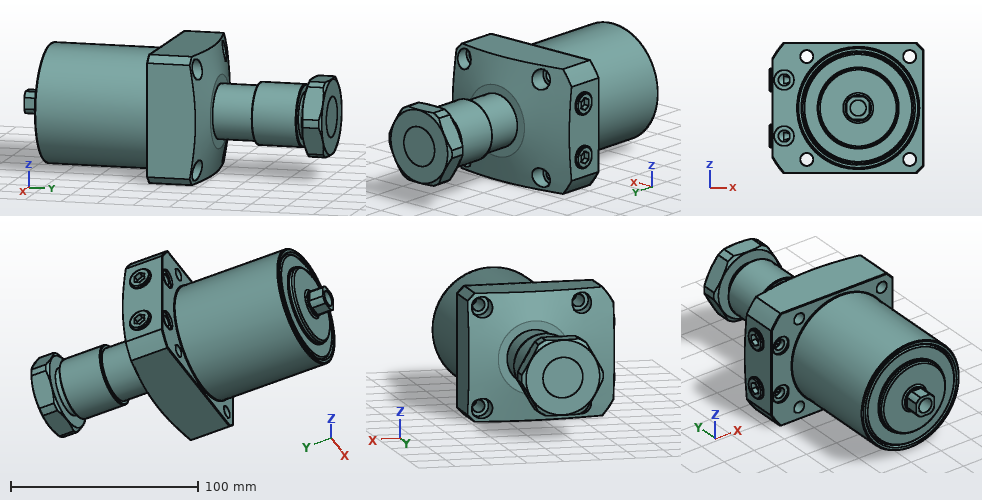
import cadquery as cq
import math


nut_top = 93.0
nut_height = 11.0
nut_bottom = nut_top - nut_height
sleeve_top = 78.0
sleeve_bottom = 53.0
flange_top = 31.0
barrel_end = -63.0
cover_boss_height = 3.2
cover_face = barrel_end - cover_boss_height
tail_end = -76.0

flange_half_height = 35.0
flange_right = 35.0
flange_left = -46.0
flange_corner_chamfer = 4.0
flange_corner_radius = 53.0
flange_edge_chamfer = 0.4
crown_radius = 20.0
crown_angle = 15.0
crown_outer_radius = 60.0
bolt_hole_diameter = 6.8
bolt_hole_offset = 27.5
bolt_head_diameter = 11.0
bolt_seat = 18.0

port_x = -39.6
port_offset = 15.0
port_counterbore_diameter = 10.6
port_counterbore_depth = 1.2
port_drill_diameter = 6.2
port_drill_depth = 4.6
drill_tip_angle = 118.0
passage_diameter = 4.6
passage_start = -39.8
passage_length = 4.5
passage_y = 6.6

plug_y = 13.0
plug_head_diameter = 12.5
plug_head_height = 1.5
plug_head_chamfer = 0.7
plug_shank_diameter = 9.0
plug_shank_length = 5.0
plug_socket_flats = 6.0
plug_socket_depth = 3.2

barrel_radius = 32.5
barrel_edge_chamfer = 0.6
barrel_root_radius = 32.8
barrel_root_height = 0.5
cover_radius = 29.6
cover_thickness = 10.0
cover_edge_chamfer = 0.9
cover_inner_face = barrel_end + cover_thickness
boss_base_radius = 21.8
boss_base_height = 0.8
boss_radius = 21.3
boss_chamfer = 0.9

rod_radius = 15.0
stud_radius = 11.0
tail_radius = 6.75
tail_square_flats = 12.0
tail_square_length = 8.0
tail_bore_diameter = 8.5
tail_bore_depth = 15.0

seal_base_radius = 8.1
seal_lip_radius = 7.0
seal_height = 1.4
seal_taper_height = 0.7

sleeve_radius = 17.0
sleeve_edge_chamfer = 0.5
nut_flats = 41.0
nut_turned_radius = 22.5
nut_chamfer_width = 2.2
nut_chamfer_height = 1.1
neck_radius = 12.9
neck_flare_radius = 13.6
neck_straight_height = 1.0


def turned(profile):
    """Solid of revolution about Y from (radius, y) points."""
    return cq.Workplane("XY").polyline(profile).close().revolve(360, (0, 0, 0), (0, 1, 0))


def cylinder_y(radius, y_from, y_to, x=0, z=0):
    """Cylinder parallel to Y between two heights."""
    disc = cq.Workplane("XZ", origin=(x, y_from, z)).circle(radius)
    return disc.extrude(y_from - y_to)


def cylinder_x(radius, x_from, x_to, y, z):
    """Cylinder parallel to X between two positions."""
    disc = cq.Workplane("YZ", origin=(x_from, y, z)).circle(radius)
    return disc.extrude(x_to - x_from)


def flange_plate():
    """Flange outline: turned left corners, chamfered right corners, conical crown."""
    h = flange_half_height
    arc_top_x = -math.sqrt(flange_corner_radius**2 - h**2)
    arc_side_z = math.sqrt(flange_corner_radius**2 - flange_left**2)
    middle_angle = (math.atan2(h, -arc_top_x) + math.atan2(arc_side_z, -flange_left)) / 2
    arc_middle_x = -flange_corner_radius * math.cos(middle_angle)
    arc_middle_z = flange_corner_radius * math.sin(middle_angle)
    plate = (
        cq.Workplane("XZ")
        .moveTo(arc_top_x, h)
        .lineTo(flange_right - flange_corner_chamfer, h)
        .lineTo(flange_right, h - flange_corner_chamfer)
        .lineTo(flange_right, flange_corner_chamfer - h)
        .lineTo(flange_right - flange_corner_chamfer, -h)
        .lineTo(arc_top_x, -h)
        .threePointArc((arc_middle_x, -arc_middle_z), (flange_left, -arc_side_z))
        .lineTo(flange_left, arc_side_z)
        .threePointArc((arc_middle_x, arc_middle_z), (arc_top_x, h))
        .close()
        .extrude(-flange_top)
    )
    plate = plate.faces("<Y").chamfer(flange_edge_chamfer)
    crown_drop = (crown_outer_radius - crown_radius) * math.tan(math.radians(crown_angle))
    crown = turned([
        (0, 0),
        (crown_outer_radius, 0),
        (crown_outer_radius, flange_top - crown_drop),
        (crown_radius, flange_top),
        (0, flange_top),
    ])
    return plate.intersect(crown)


def port_cutter(z):
    """Counterbored oil port with a drill-point bottom and a short passage toward the barrel."""
    drill_radius = port_drill_diameter / 2
    tip_depth = drill_radius / math.tan(math.radians(drill_tip_angle / 2))
    drill = turned([
        (0, 0),
        (drill_radius, 0),
        (drill_radius, port_drill_depth),
        (0, port_drill_depth + tip_depth),
    ]).translate((port_x, 0, z))
    counterbore = cylinder_y(port_counterbore_diameter / 2, 0, port_counterbore_depth, port_x, z)
    passage_end = passage_start + passage_length
    passage = cylinder_x(passage_diameter / 2, passage_start, passage_end, passage_y, z)
    return drill.union(counterbore).union(passage)


def make_housing():
    """Flange and barrel in one piece, bored for rod, cover, ports, plugs and bolts."""
    barrel = cylinder_y(barrel_radius, barrel_end, 0).faces("<Y").chamfer(barrel_edge_chamfer)
    root_step = cylinder_y(barrel_root_radius, -barrel_root_height, 0)
    body = flange_plate().union(barrel).union(root_step)
    body = body.cut(cylinder_y(rod_radius, cover_inner_face, flange_top))
    body = body.cut(turned([
        (0, barrel_end),
        (cover_radius + cover_edge_chamfer, barrel_end),
        (cover_radius, barrel_end + cover_edge_chamfer),
        (cover_radius, cover_inner_face),
        (0, cover_inner_face),
    ]))
    for z in (-bolt_hole_offset, bolt_hole_offset):
        for x in (-bolt_hole_offset, bolt_hole_offset):
            body = body.cut(cylinder_y(bolt_hole_diameter / 2, 0, flange_top, x, z))
            body = body.cut(cylinder_y(bolt_head_diameter / 2, bolt_seat, flange_top, x, z))
    for z in (-port_offset, port_offset):
        plug_end = flange_left + plug_shank_length
        body = body.cut(port_cutter(z))
        body = body.cut(cylinder_x(plug_shank_diameter / 2, flange_left, plug_end, plug_y, z))
    return body


def make_cover():
    """End cover set into the barrel, with a stepped boss around the tail of the rod."""
    return turned([
        (tail_radius, cover_inner_face),
        (cover_radius, cover_inner_face),
        (cover_radius, barrel_end + cover_edge_chamfer),
        (cover_radius - cover_edge_chamfer, barrel_end),
        (boss_base_radius, barrel_end),
        (boss_base_radius, barrel_end - boss_base_height),
        (boss_radius, barrel_end - boss_base_height),
        (boss_radius, cover_face + boss_chamfer),
        (boss_radius - boss_chamfer, cover_face),
        (tail_radius, cover_face),
    ])


def make_rod():
    """Rod with a stud for sleeve and nut, and a bored tail with a squared end."""
    rod = turned([
        (0, tail_end),
        (tail_radius, tail_end),
        (tail_radius, cover_inner_face),
        (rod_radius, cover_inner_face),
        (rod_radius, sleeve_bottom),
        (stud_radius, sleeve_bottom),
        (stud_radius, nut_top),
        (0, nut_top),
    ])
    stock_width = 2 * tail_radius
    stock = cq.Workplane("XZ", origin=(0, tail_end, 0)).rect(stock_width, stock_width)
    stock = stock.extrude(-tail_square_length)
    square = cq.Workplane("XZ", origin=(0, tail_end, 0)).rect(tail_square_flats, tail_square_flats)
    square = square.extrude(-tail_square_length)
    rod = rod.cut(stock.cut(square))
    return rod.cut(cylinder_y(tail_bore_diameter / 2, tail_end, tail_end + tail_bore_depth))


def make_dust_seal():
    """Tapered seal ring around the tail, resting on the cover boss."""
    return turned([
        (tail_radius, cover_face),
        (seal_base_radius, cover_face),
        (seal_lip_radius, cover_face - seal_taper_height),
        (seal_lip_radius, cover_face - seal_height),
        (tail_radius, cover_face - seal_height),
    ])


def make_sleeve():
    """Plain sleeve on the stud, seated on the rod shoulder."""
    tube = cylinder_y(sleeve_radius, sleeve_bottom, sleeve_top)
    tube = tube.faces("<Y or >Y").chamfer(sleeve_edge_chamfer)
    return tube.cut(cylinder_y(stud_radius, sleeve_bottom, sleeve_top))


def make_nut():
    """Hexagon nut with turned corners and a flared neck pressing on the sleeve."""
    across_corners = nut_flats / math.cos(math.pi / 6)
    hexagon = cq.Workplane("XZ", origin=(0, nut_bottom, 0)).polygon(6, across_corners)
    hexagon = hexagon.extrude(-nut_height)
    face_radius = nut_turned_radius - nut_chamfer_width
    envelope = turned([
        (0, nut_bottom),
        (face_radius, nut_bottom),
        (nut_turned_radius, nut_bottom + nut_chamfer_height),
        (nut_turned_radius, nut_top - nut_chamfer_height),
        (face_radius, nut_top),
        (0, nut_top),
    ])
    neck = turned([
        (0, sleeve_top),
        (neck_radius, sleeve_top),
        (neck_radius, sleeve_top + neck_straight_height),
        (neck_flare_radius, nut_bottom),
        (0, nut_bottom),
    ])
    nut = hexagon.intersect(envelope).union(neck)
    return nut.cut(cylinder_y(stud_radius, sleeve_top, nut_top))


def make_plug(z):
    """Socket-head plug screwed into the side of the flange."""
    head_face = flange_left - plug_head_height
    head = cylinder_x(plug_head_diameter / 2, flange_left, head_face, plug_y, z)
    head = head.faces("<X").chamfer(plug_head_chamfer)
    shank_end = flange_left + plug_shank_length
    shank = cylinder_x(plug_shank_diameter / 2, flange_left, shank_end, plug_y, z)
    socket_corners = plug_socket_flats / math.cos(math.pi / 6)
    socket = (
        cq.Workplane("YZ", origin=(head_face, plug_y, z))
        .transformed(rotate=(0, 0, 30))
        .polygon(6, socket_corners)
        .extrude(plug_socket_depth)
    )
    return head.union(shank).cut(socket)


housing = make_housing()
cover = make_cover()
rod = make_rod()
dust_seal = make_dust_seal()
sleeve = make_sleeve()
nut = make_nut()
plugs = [make_plug(z).val() for z in (-port_offset, port_offset)]

result = cq.Compound.makeCompound([
    housing.val(),
    cover.val(),
    rod.val(),
    dust_seal.val(),
    sleeve.val(),
    nut.val(),
    *plugs,
])